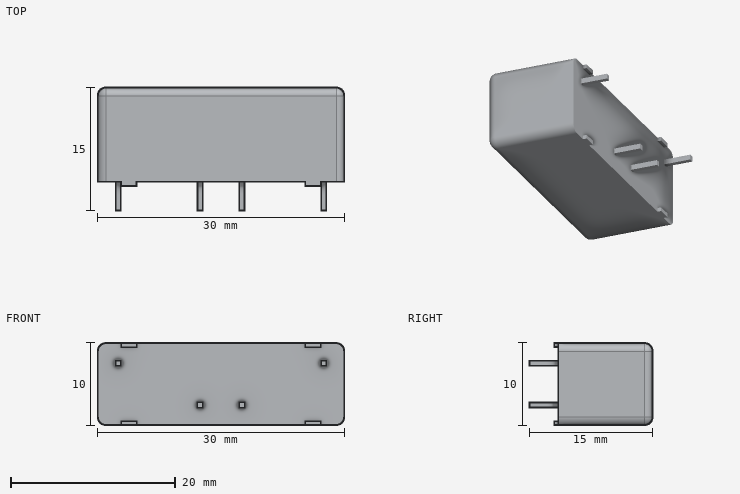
import cadquery as cq

body_length = 30.0
body_height = 10.0
body_depth = 11.5
edge_radius = 1.0

tab_length = 1.9
tab_thickness = 0.5
tab_standoff = 0.5
tab_center_x = 11.2

pin_width = 0.65
pin_length = 3.5
outer_pin_x = 12.5
inner_pin_x = 2.54
pin_row_z = 2.54


def block_on_mounting_face(x, z, length_x, length_z, projection):
    """Rectangular block centred at (x, z), projecting toward -Y."""
    return cq.Workplane("XY").box(length_x, projection, length_z).translate((x, -projection / 2, z))


def make_body():
    """Block with all edges rounded except those around the mounting face."""
    block = cq.Workplane("XY").box(body_length, body_depth, body_height)
    block = block.edges("|Y or >Y").fillet(edge_radius)
    return block.translate((0, body_depth / 2, 0))


def add_tabs(part):
    """Four tabs flush with the upper and lower sides of the body."""
    tab_center_z = (body_height - tab_thickness) / 2
    for x in (-tab_center_x, tab_center_x):
        for z in (-tab_center_z, tab_center_z):
            part = part.union(block_on_mounting_face(x, z, tab_length, tab_thickness, tab_standoff))
    return part


def add_pin_pair(part, pin_x, pin_z):
    """Two square pins, mirrored about the middle of the body length."""
    for x in (-pin_x, pin_x):
        part = part.union(block_on_mounting_face(x, pin_z, pin_width, pin_width, pin_length))
    return part


result = make_body()
result = add_tabs(result)
result = add_pin_pair(result, outer_pin_x, pin_row_z)
result = add_pin_pair(result, inner_pin_x, -pin_row_z)